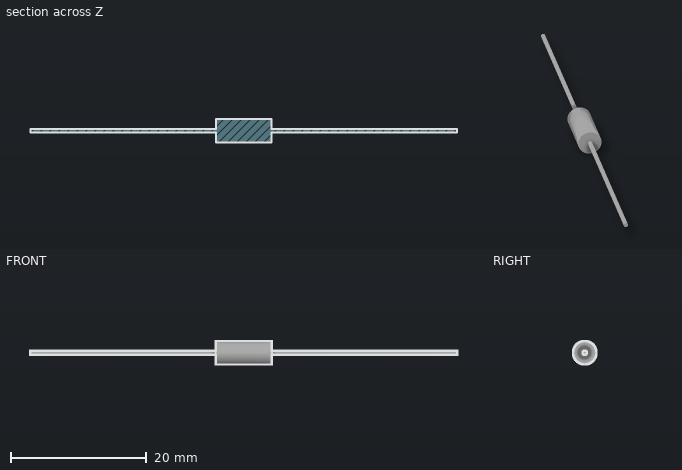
import cadquery as cq

overall_length = 63.0
body_length = 8.3
body_diameter = 3.5
lead_diameter = 0.65


def centered_rod(diameter, length):
    """Cylinder along X, centred on the origin."""
    return cq.Workplane("YZ", origin=(-length / 2, 0, 0)).circle(diameter / 2).extrude(length)


body = centered_rod(body_diameter, body_length)
leads = centered_rod(lead_diameter, overall_length)

result = body.union(leads)